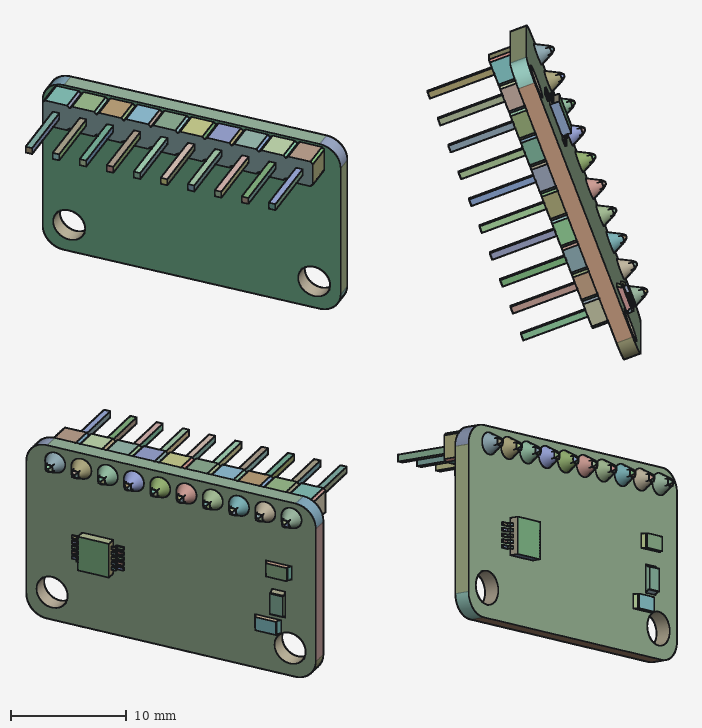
import cadquery as cq


board_width = 28.0
board_height = 17.0
board_thickness = 1.5
corner_radius = 2.0
mount_hole_diameter = 3.0
mount_hole_side_margin = 2.5
mount_hole_bottom_margin = 2.7

pin_count = 10
header_length = 25.4
header_offset_x = -0.22
header_top_margin = 0.25
header_chamfer = 0.22
pin_pitch = header_length / pin_count
header_block_size = pin_pitch
header_z = board_height / 2 - header_top_margin - header_block_size / 2
pin_xs = [header_offset_x + (i - (pin_count - 1) / 2) * pin_pitch for i in range(pin_count)]

pin_size = 0.62
pin_front_length = 6.05
pin_taper_length = 0.28
pin_end_size = 0.2
pin_back_length = 1.48

solder_base_radius = 0.98
solder_top_radius = 0.35
solder_height = pin_back_length - pin_taper_length

chip_length = 2.02
chip_width = 1.3
chip_height = 0.48
chip_flare = 0.25
chip_flare_height = 0.3
chip_column_x = -10.42
upper_chip_z = 1.6
middle_chip_z = -1.65
lower_chip_x = -9.38
lower_chip_z = -3.92

ic_width = 3.0
ic_height = 3.3
ic_top = 0.95
ic_standoff = 0.1
ic_x = 7.03
ic_z = -0.85
lead_count = 5
lead_pitch = 0.5
lead_width = 0.25
lead_thickness = 0.15
lead_shoulder_height = 0.45
lead_reach = 1.0
lead_shoulder_reach = 0.4


def box_between(x_range, y_range, z_range):
    """Axis-aligned box that fills the given ranges."""
    ranges = (x_range, y_range, z_range)
    size = [high - low for low, high in ranges]
    return cq.Workplane("XY").box(*size, centered=False).translate(tuple(low for low, high in ranges))


def span(centre, length):
    """Range of the given length about a centre."""
    return (centre - length / 2, centre + length / 2)


def plane_facing_back(x, y, z):
    """Workplane at the given point whose normal points along +Y."""
    return cq.Workplane(cq.Plane(origin=(x, y, z), xDir=(1, 0, 0), normal=(0, 1, 0)))


def make_bare_board():
    hole_x = board_width / 2 - mount_hole_side_margin
    hole_z = mount_hole_bottom_margin - board_height / 2
    board = box_between(span(0, board_width), (0, board_thickness), span(0, board_height))
    board = board.edges("|Y").fillet(corner_radius)
    for x in (-hole_x, hole_x):
        hole = plane_facing_back(x, 0, hole_z).circle(mount_hole_diameter / 2).extrude(board_thickness)
        board = board.cut(hole)
    return board


def make_solder_cone(x):
    cone = cq.Solid.makeCone(
        solder_base_radius,
        solder_top_radius,
        solder_height,
        cq.Vector(x, board_thickness, header_z),
        cq.Vector(0, 1, 0),
    )
    return cq.Workplane(cone)


def make_chip(x, z, turn=0):
    """Chip on the back face, lying along X; turn rotates it about Y, in degrees."""
    half = chip_length / 2
    profile = [
        (-half - chip_flare, 0),
        (half + chip_flare, 0),
        (half, chip_flare_height),
        (half, chip_height),
        (-half, chip_height),
        (-half, chip_flare_height),
    ]
    chip = cq.Workplane("XY").polyline(profile).close().extrude(chip_width / 2, both=True)
    return chip.rotate((0, 0, 0), (0, 1, 0), turn).translate((x, board_thickness, z))


def make_lead(side, z):
    """Gull-wing lead on one side of the circuit: side is -1 for -X and 1 for +X."""
    root = ic_width / 2
    foot_end = root + lead_reach
    riser_outer = root + lead_shoulder_reach
    riser_inner = riser_outer - lead_thickness
    shoulder_bottom = lead_shoulder_height - lead_thickness
    profile = [
        (root, lead_shoulder_height),
        (riser_outer, lead_shoulder_height),
        (riser_outer, lead_thickness),
        (foot_end, lead_thickness),
        (foot_end, 0),
        (riser_inner, 0),
        (riser_inner, shoulder_bottom),
        (root, shoulder_bottom),
    ]
    outline = [(side * x, y) for x, y in profile]
    lead = cq.Workplane("XY").polyline(outline).close().extrude(lead_width / 2, both=True)
    return lead.translate((ic_x, board_thickness, z))


def make_circuit():
    y_range = (board_thickness + ic_standoff, board_thickness + ic_top)
    circuit = box_between(span(ic_x, ic_width), y_range, span(ic_z, ic_height))
    for i in range(lead_count):
        lead_z = ic_z + (i - (lead_count - 1) / 2) * lead_pitch
        for side in (-1, 1):
            circuit = circuit.union(make_lead(side, lead_z))
    return circuit


def make_pin(x):
    """Square pin through header, board and solder, tapered at its back end."""
    taper_start = board_thickness + pin_back_length - pin_taper_length
    front_end = -header_block_size - pin_front_length
    shank = box_between(span(x, pin_size), (front_end, taper_start), span(header_z, pin_size))
    taper = (
        plane_facing_back(x, taper_start, header_z)
        .rect(pin_size, pin_size)
        .workplane(offset=pin_taper_length)
        .rect(pin_end_size, pin_end_size)
        .loft(ruled=True)
    )
    return shank.union(taper)


def make_header_block(x):
    """One pitch of the header, chamfered along its four Y edges."""
    size = header_block_size
    block = box_between(span(x, size), (-size, 0), span(header_z, size))
    return block.edges("|Y").chamfer(header_chamfer)


def make_board():
    """Board with its soldered components and a square passage for every pin."""
    board = make_bare_board()
    board = board.union(make_chip(chip_column_x, upper_chip_z))
    board = board.union(make_chip(chip_column_x, middle_chip_z, turn=90))
    board = board.union(make_chip(lower_chip_x, lower_chip_z))
    board = board.union(make_circuit())
    for x in pin_xs:
        board = board.union(make_solder_cone(x)).cut(make_pin(x))
    return board


def make_header():
    """Header strip and its pins as one body."""
    header = make_header_block(pin_xs[0]).union(make_pin(pin_xs[0]))
    for x in pin_xs[1:]:
        header = header.union(make_header_block(x)).union(make_pin(x))
    return header


board = make_board()
header = make_header()

result = cq.Compound.makeCompound([board.solids().val(), header.solids().val()])